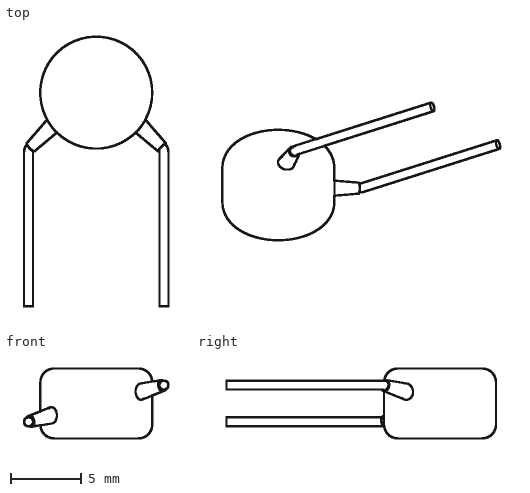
import cadquery as cq
import math

housing_diameter = 8.0
housing_height = 5.0
housing_edge_radius = 1.0

wire_diameter = 0.65
wire_span = 10.3
overall_length = 19.22
wire_drop = 1.3

bend_start_y = -4.23
bend_radius = 0.45
bend_angle = 46.5
bend_roll = 15.5

sleeve_mouth_diameter = 0.8
sleeve_half_angle = 4.5
sleeve_length = 2.88

housing_radius = housing_diameter / 2
wire_radius = wire_diameter / 2
wire_x = wire_span / 2 - wire_radius
wire_tip_y = housing_radius - overall_length
wire_run = bend_start_y - wire_tip_y
sleeve_root_radius = sleeve_mouth_diameter / 2 + sleeve_length * math.tan(math.radians(sleeve_half_angle))

bend = math.radians(bend_angle)
mouth_x = bend_radius * (1 - math.cos(bend))
mouth_y = bend_radius * math.sin(bend)


def place_at_bend(shape):
    """Move a shape from the flat bend frame to the lower left bend.

    In the bend frame the wire runs along -Y from the origin and bends toward +X.
    """
    rolled = shape.rotate((0, 0, 0), (0, 1, 0), -bend_roll)
    return rolled.translate((-wire_x, bend_start_y, -wire_drop))


def turn_to_side(shape, turn):
    """Turn a lower left shape half way about Y to reach the upper right."""
    return shape.rotate((0, 0, 0), (0, 1, 0), turn)


def make_wire():
    """Straight round wire with a short bend that ends on the mouth of a sleeve."""
    straight = cq.Workplane("XZ").circle(wire_radius).extrude(wire_run)
    elbow = cq.Workplane("XZ").circle(wire_radius).revolve(bend_angle, (bend_radius, 0), (bend_radius, -1))
    return place_at_bend(straight.union(elbow))


def make_sleeve():
    """Tapered sleeve of coating that widens from the wire bend into the housing."""
    direction = cq.Vector(math.sin(bend), math.cos(bend), 0)
    mouth = cq.Vector(mouth_x, mouth_y, 0)
    cone = cq.Solid.makeCone(sleeve_mouth_diameter / 2, sleeve_root_radius, sleeve_length, mouth, direction)
    return place_at_bend(cq.Workplane(cone))


def make_housing(side_turns):
    """Round-edged disc with one sleeve for each wire."""
    disc = cq.Workplane("XY").circle(housing_radius).extrude(housing_height / 2, both=True)
    coat = disc.edges("%CIRCLE").fillet(housing_edge_radius)
    for turn in side_turns:
        coat = coat.union(turn_to_side(make_sleeve(), turn))
    return coat


side_turns = (0, 180)
housing = make_housing(side_turns)
wires = [turn_to_side(make_wire(), turn) for turn in side_turns]

result = cq.Compound.makeCompound([housing.val(), *[wire.val() for wire in wires]])